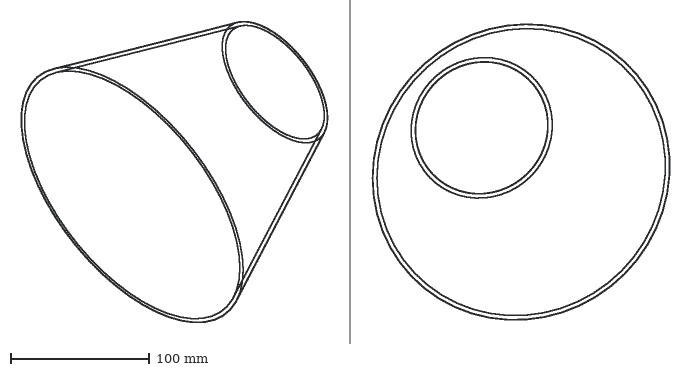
import cadquery as cq

large_diameter = 219.0
small_diameter = 104.0
length = 152.0
wall = 3.3

large_radius = large_diameter / 2
small_radius = small_diameter / 2

wall_section = (
    cq.Workplane("XY")
    .moveTo(large_radius - wall, 0)
    .lineTo(large_radius, 0)
    .lineTo(small_radius, length)
    .lineTo(small_radius - wall, length)
    .close()
)

result = wall_section.revolve(360, (0, 0, 0), (0, 1, 0))